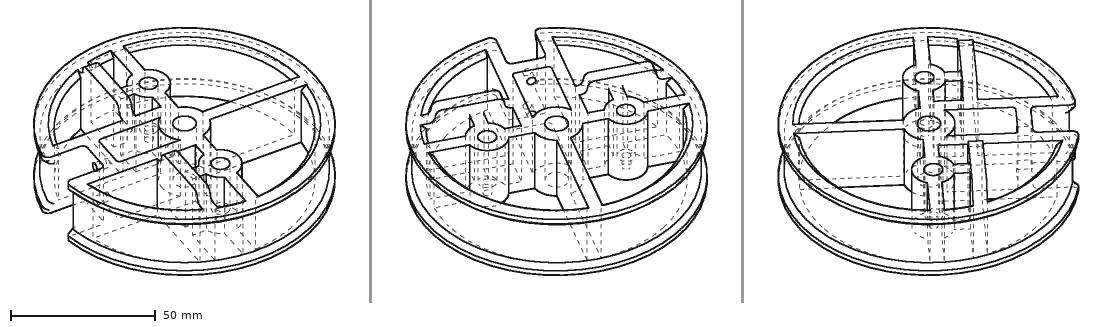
import cadquery as cq
import math

WHEEL_HEIGHT = 25.0
FLANGE_RADIUS = 52.0
GROOVE_RADIUS = 50.0
FLANGE_EDGE = 2.0
GROOVE_SLOPE = FLANGE_RADIUS - GROOVE_RADIUS
WALL = 5.0
BORE_RADIUS = GROOVE_RADIUS - WALL
BORE_CHAMFER = 2.0

HUB_RADIUS = 9.0
HUB_BORE = 8.1
BOSS_OFFSET = 25.0
BOSS_RADIUS = 7.5
BOSS_HOLE = 3.1
BOSS_COUNTERBORE = 6.5
BOSS_FLOOR = WALL

SLOT_WIDTH = 14.0
LEG_OUTER = SLOT_WIDTH / 2 + WALL
CROSS_WALL_TOP = -30.4
CROSS_WALL_BOTTOM = -35.6
POCKET_FILLET = 1.25
SLOT_FILLET = 1.75
MOUTH_FILLET = 2.2
CROSS_HOLE = 3.1
CROSS_HOLE_EDGE = 5.0

BAR_TOP = -12.6
TAB_HEIGHT = 5.0
TAB_FOOT_INNER = 12.4
TAB_FOOT_LENGTH = 30.0
TAB_CURVE = TAB_HEIGHT / 2
RIB_FILLET = 0.5

SIDES = (-1, 1)


def block(x_min, x_max, y_min, y_max):
    """Full-height block standing on Z = 0."""
    return cq.Workplane("XY").box(
        x_max - x_min, y_max - y_min, WHEEL_HEIGHT, centered=False
    ).translate((x_min, y_min, 0))


def cylinder(x, y, radius, bottom=0.0):
    """Upright cylinder from the given level to the top face."""
    return cq.Workplane("XY", origin=(x, y, bottom)).circle(radius).extrude(WHEEL_HEIGHT - bottom)


def make_envelope():
    """Solid wheel with the V-sided groove around its outside."""
    low = FLANGE_EDGE
    high = WHEEL_HEIGHT - FLANGE_EDGE
    profile = [
        (0, 0),
        (FLANGE_RADIUS, 0),
        (FLANGE_RADIUS, low),
        (GROOVE_RADIUS, low + GROOVE_SLOPE),
        (GROOVE_RADIUS, high - GROOVE_SLOPE),
        (FLANGE_RADIUS, high),
        (FLANGE_RADIUS, WHEEL_HEIGHT),
        (0, WHEEL_HEIGHT),
    ]
    return cq.Workplane("XZ").polyline(profile).close().revolve(360, (0, 0), (0, 1))


def make_bore():
    """Inner opening of the rim, chamfered at the top face."""
    mouth = BORE_RADIUS + BORE_CHAMFER
    profile = [
        (0, 0),
        (BORE_RADIUS, 0),
        (BORE_RADIUS, WHEEL_HEIGHT - BORE_CHAMFER),
        (mouth, WHEEL_HEIGHT),
        (0, WHEEL_HEIGHT),
    ]
    return cq.Workplane("XZ").polyline(profile).close().revolve(360, (0, 0), (0, 1))


def make_frame():
    """Spokes, legs, bars, ribs and bosses inside the rim."""
    half = WALL / 2
    reach = GROOVE_RADIUS - half
    frame = cylinder(0, 0, HUB_RADIUS)
    frame = frame.union(block(-reach, reach, -half, half))
    frame = frame.union(block(-half, half, 0, reach))
    frame = frame.union(block(-LEG_OUTER, LEG_OUTER, -FLANGE_RADIUS, 0))
    bar_reach = math.sqrt(reach**2 - BAR_TOP**2)
    frame = frame.union(block(-bar_reach, bar_reach, BAR_TOP - WALL, BAR_TOP))
    for side in SIDES:
        x = side * BOSS_OFFSET
        frame = frame.union(cylinder(x, 0, BOSS_RADIUS))
        frame = frame.union(block(x - half, x + half, BAR_TOP, 0))
    return frame


def make_slot():
    """Slot through the rim and the pocket behind it, up to the hub."""
    half = SLOT_WIDTH / 2
    slot = block(-half, half, -2 * FLANGE_RADIUS, CROSS_WALL_BOTTOM).edges("|Z and >Y").fillet(SLOT_FILLET)
    pocket = block(-half, half, CROSS_WALL_TOP, 0).edges("|Z and <Y").fillet(POCKET_FILLET)
    return slot.union(pocket.cut(cylinder(0, 0, HUB_RADIUS)))


def round_slot_mouth(body):
    """Round the rim edges along both sides of the slot mouth."""
    half = SLOT_WIDTH / 2
    margin = 0.1
    mouth_start = -math.sqrt(GROOVE_RADIUS**2 - half**2)
    selector = cq.selectors.BoxSelector(
        (-half - margin, -FLANGE_RADIUS, margin),
        (half + margin, mouth_start + margin, WHEEL_HEIGHT - margin),
    )
    return body.edges(selector).fillet(MOUTH_FILLET)


def make_tab(side):
    """Tab with S-shaped ends on top of one bar."""
    centre = side * (TAB_FOOT_INNER + TAB_FOOT_LENGTH / 2)
    foot = TAB_FOOT_LENGTH / 2
    flank = foot - TAB_CURVE
    crest = flank - TAB_CURVE
    middle = WHEEL_HEIGHT + TAB_CURVE
    top = WHEEL_HEIGHT + TAB_HEIGHT
    return (
        cq.Workplane("XZ", origin=(centre, BAR_TOP, 0))
        .moveTo(-foot, WHEEL_HEIGHT)
        .radiusArc((-flank, middle), -TAB_CURVE)
        .radiusArc((-crest, top), TAB_CURVE)
        .lineTo(crest, top)
        .radiusArc((flank, middle), TAB_CURVE)
        .radiusArc((foot, WHEEL_HEIGHT), -TAB_CURVE)
        .close()
        .extrude(WALL)
    )


def make_rib_fillet(side):
    """Small concave fillet where a rib's top meets the tab."""
    return (
        cq.Workplane("YZ", origin=(side * BOSS_OFFSET - WALL / 2, BAR_TOP, WHEEL_HEIGHT))
        .lineTo(RIB_FILLET, 0)
        .radiusArc((0, RIB_FILLET), RIB_FILLET)
        .close()
        .extrude(WALL)
    )


def make_holes():
    """Hub bore, counterbored boss holes and the two holes through the cross wall."""
    holes = cylinder(0, 0, HUB_BORE / 2)
    for side in SIDES:
        x = side * BOSS_OFFSET
        holes = holes.union(cylinder(x, 0, BOSS_HOLE / 2))
        holes = holes.union(cylinder(x, 0, BOSS_COUNTERBORE / 2, BOSS_FLOOR))
    for z in (CROSS_HOLE_EDGE, WHEEL_HEIGHT - CROSS_HOLE_EDGE):
        start = cq.Workplane("XZ", origin=(0, CROSS_WALL_TOP, z))
        cross_hole = start.circle(CROSS_HOLE / 2).extrude(CROSS_WALL_TOP - CROSS_WALL_BOTTOM)
        holes = holes.union(cross_hole)
    return holes


envelope = make_envelope()
result = envelope.cut(make_bore()).union(make_frame().intersect(envelope))
result = round_slot_mouth(result.cut(make_slot()))
for side in SIDES:
    result = result.union(make_tab(side)).union(make_rib_fillet(side))
result = result.cut(make_holes())